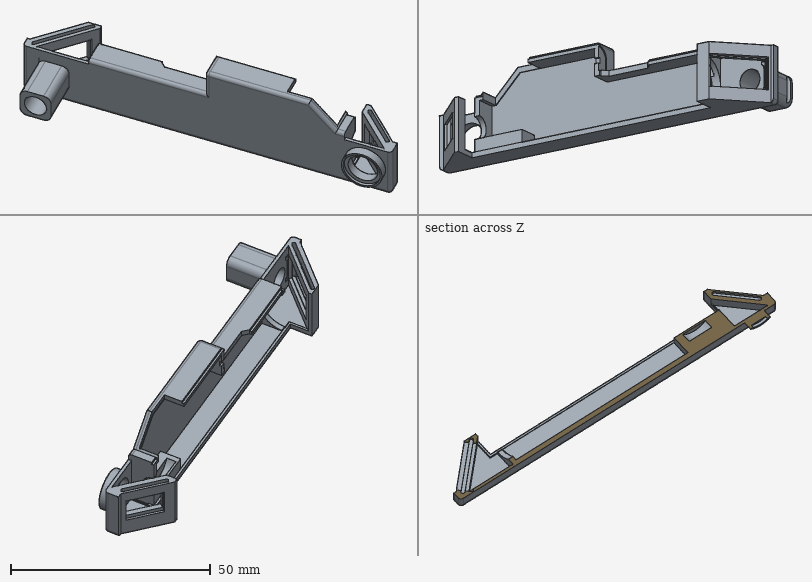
import cadquery as cq
import math

length = 99.85
edge_round = 1.0
body_depth = 7.2
wall = 1.5
rim = 0.6
tolerance = 0.01
cut_margin = 1.0

left_top = 15.16
right_top = 14.47
ledge_left = 17.8
ledge_right = 87.1
ledge_top = 16.5
tower_left = 49.4
tower_top = 23.79
slope_top = 77.7
slope_angle = 45.0
slope_bottom = slope_top + (tower_top - ledge_top) / math.tan(math.radians(slope_angle))
slope_inset = wall * math.tan(math.radians(slope_angle / 2))
plate_thickness = 0.9
body_left = ledge_left - rim
floor_thickness = 1.0
rim_top = 1.4
optical_z = 8.0

block_back = 13.96
block_angle = 45.0
window_depth = 5.0
slot_width = 1.0
slot_bottom = 3.0
tongue_back = 7.87

left_side = 2.8
left_inner = 15.5
left_outer_line = 2.05
left_inner_line = -2.45
left_slot_line = -0.4
left_slot_start = 2.2
left_slot_end = 13.5
left_window_x = 7.65
left_window_z = 7.72
left_window_length = 14.8
left_window_height = 8.64

right_side = 3.95
right_inner = 87.4
right_rim = 0.35
right_outer_line = 102.55
right_inner_line = 98.4
right_slot_line = 101.0
right_slot_start = 89.1
right_slot_end = 97.2
right_window_x = 93.3
right_window_length = 10.0
right_window_height = 6.9

post_x = 8.3
post_z = 7.72
post_width = 8.4
post_height = 8.3
post_round = 2.0
post_reach = 11.86
post_bore = 6.0
groove_diameter = 1.6
groove_offset = 0.3
groove_height = 7.0
groove_y = -10.3

ring_x = 92.8
ring_diameter = 11.0
ring_counterbore = 10.0
counterbore_depth = 0.8
ring_bore = 8.0
ring_reach = 2.4

passage_diameter = 6.0
port_radius = 3.2
port_recess = 0.3
port_spring_z = 19.5
notch_left = 34.8
notch_depth = 2.1
back_notch_z = 18.3
back_notch_height = 1.45
roof_gap_left = 71.0
roof_gap_right = 84.5
roof_gap_front = 1.7
trough_left = 74.2
trough_right = 83.3
trough_front = 4.05
trough_back = 6.6
saddle_left = 72.8
saddle_top = 5.0
trough_radius = 5.0

lip_reach = 99.91
lip_size = 0.25
lip_height = 0.12


def box(x0, x1, y0, y1, z0, z1):
    return cq.Workplane("XY").box(x1 - x0, y1 - y0, z1 - z0, centered=False).translate((x0, y0, z0))


def front_prism(points, y0, y1):
    """Prism of an XZ outline between two depths."""
    return cq.Workplane("XZ", origin=(0, y0, 0)).polyline(points).close().extrude(y0 - y1)


def top_prism(points, z0, z1):
    """Prism of an XY outline between two heights."""
    return cq.Workplane("XY", origin=(0, 0, z0)).polyline(points).close().extrude(z1 - z0)


def front_cylinder(x, z, diameter, y0, y1):
    return cq.Workplane("XZ", origin=(x, y0, z)).circle(diameter / 2).extrude(y0 - y1)


def block_profiles():
    """Plan outlines of the left and right mirror blocks."""
    left = [
        (0, 0), (left_inner, 0), (left_inner, block_back), (block_back - left_outer_line, block_back),
        (left_side - left_outer_line, left_side), (0, left_side),
    ]
    right = [
        (length, 0), (length, right_side), (right_outer_line - right_side, right_side),
        (right_outer_line - block_back, block_back), (right_inner, block_back), (right_inner, 0),
    ]
    return left, right


def near(value, targets):
    return any(abs(value - target) < tolerance for target in targets)


def solid_housing():
    """Front plate, body and blocks as one solid, with its outer front edges rounded."""
    plate = front_prism([
        (0, 0), (length, 0), (length, right_top), (ledge_left, right_top), (ledge_left, left_top), (0, left_top),
    ], 0, plate_thickness)
    body = front_prism([
        (body_left, 0), (ledge_right, 0), (ledge_right, ledge_top), (slope_bottom, ledge_top),
        (slope_top, tower_top), (tower_left, tower_top), (tower_left, ledge_top),
        (ledge_left, ledge_top), (ledge_left, left_top), (body_left, left_top),
    ], 0, body_depth)
    left, right = block_profiles()
    solid = plate.union(body).union(top_prism(left, 0, left_top)).union(top_prism(right, 0, right_top))
    tongue = box(left_inner - rim, right_inner + right_rim, body_depth - wall, tongue_back, 0, rim_top)
    left_floor = box(left_inner - rim, body_left + rim, 0, body_depth, 0, floor_thickness)
    right_floor = box(ledge_right - rim, right_inner + rim, 0, body_depth, 0, floor_thickness)
    solid = solid.union(tongue).union(left_floor).union(right_floor)

    rounded_corners = [(0, 0), (length, 0), (tower_left, tower_top)]
    corner_edges = [
        edge for edge in solid.edges("|Y").vals()
        if any(near(edge.Center().x, [x]) and near(edge.Center().z, [z]) for x, z in rounded_corners)
    ]
    front_edges = [
        edge for edge in solid.faces("<Y").edges().vals()
        if not near(edge.Center().z, [left_top, right_top])
        and not near(edge.Center().x, [ledge_left, ledge_right])
    ]
    return solid.newObject(corner_edges + front_edges).fillet(edge_round)


def hollow_body(solid):
    """Open the back of the housing, leaving the front plate, walls, roof and floor."""
    outline = [
        (body_left + wall, wall), (ledge_right - wall, wall),
        (ledge_right - wall, ledge_top - wall), (slope_bottom - slope_inset, ledge_top - wall),
        (slope_top - slope_inset, tower_top - wall), (tower_left + wall, tower_top - wall),
        (tower_left + wall, ledge_top - wall), (body_left + wall, ledge_top - wall),
    ]
    return solid.cut(front_prism(outline, wall, body_depth + cut_margin))


def slanted_slot(start, end, top):
    """Round-ended mirror slot, open at the top, between two plan points."""
    dx = end[0] - start[0]
    dy = end[1] - start[1]
    run = math.hypot(dx, dy)
    return (
        cq.Workplane("XY", origin=((start[0] + end[0]) / 2, (start[1] + end[1]) / 2, slot_bottom))
        .slot2D(run + slot_width, slot_width, math.degrees(math.atan2(dy, dx)))
        .extrude(top - slot_bottom + cut_margin)
    )


def slanted_window(x, y, z, width, depth, height, angle):
    """Rectangular window centred on a sloping wall; the angle is the wall direction in plan."""
    return cq.Workplane("XY").box(width, depth, height).rotate((0, 0, 0), (0, 0, 1), angle).translate((x, y, z))


def cut_left_block(solid):
    """Pocket, mirror slot and window of the left block."""
    pocket_right = left_inner - rim
    pocket = [
        (plate_thickness - left_inner_line, plate_thickness), (body_left, plate_thickness),
        (body_left, body_depth), (pocket_right, body_depth),
        (pocket_right, pocket_right + left_inner_line),
    ]
    block = solid.cut(top_prism(pocket, floor_thickness, left_top + cut_margin))
    opening = [
        (pocket_right - cut_margin, plate_thickness), (left_inner + cut_margin, plate_thickness),
        (left_inner + cut_margin, left_inner + left_inner_line + cut_margin),
        (pocket_right - cut_margin, pocket_right + left_inner_line - cut_margin),
    ]
    block = block.cut(top_prism(opening, rim_top, left_top + cut_margin))
    block = block.cut(slanted_slot(
        (left_slot_start, left_slot_start + left_slot_line),
        (left_slot_end, left_slot_end + left_slot_line), left_top,
    ))
    return block.cut(slanted_window(
        left_window_x, left_window_x + left_slot_line, left_window_z,
        left_window_length, window_depth, left_window_height, block_angle,
    ))


def cut_right_block(solid):
    """Pocket, mirror slot and window of the right block."""
    pocket_left = right_inner + right_rim
    pocket = [
        (pocket_left, plate_thickness), (right_inner_line - plate_thickness, plate_thickness),
        (pocket_left, right_inner_line - pocket_left),
    ]
    block = solid.cut(top_prism(pocket, floor_thickness, right_top + cut_margin))
    opening = [
        (ledge_right, plate_thickness), (pocket_left + rim, plate_thickness),
        (pocket_left + rim, right_inner_line - pocket_left - rim),
        (ledge_right, right_inner_line - ledge_right),
    ]
    block = block.cut(top_prism(opening, rim_top, right_top + cut_margin))
    block = block.cut(slanted_slot(
        (right_slot_start, right_slot_line - right_slot_start),
        (right_slot_end, right_slot_line - right_slot_end), right_top,
    ))
    return block.cut(slanted_window(
        right_window_x, right_slot_line - right_window_x, optical_z,
        right_window_length, window_depth, right_window_height, -block_angle,
    ))


def corner_lip():
    """Small lip at the outer top corner of the right block."""
    return box(length - lip_size, lip_reach, right_side - lip_size, right_side, right_top - lip_height, right_top)


def rebate_back_edges(solid):
    """Step back the roof edges along the open side and notch the tower sides."""
    front = body_depth - rim
    behind = body_depth + cut_margin
    ledge = box(body_left - cut_margin, tower_left, front, behind, ledge_top - rim, tower_top)
    ledge_end = box(body_left - cut_margin, ledge_left + rim, front, behind, left_top, tower_top)
    tower = box(tower_left - cut_margin, slope_bottom, front, behind, tower_top - rim, tower_top + cut_margin)
    right_ledge = box(slope_bottom, ledge_right, front, behind, ledge_top - rim, tower_top)
    notch = box(
        tower_left - cut_margin, slope_bottom, front, behind,
        back_notch_z, back_notch_z + back_notch_height,
    )
    return solid.cut(ledge).cut(ledge_end).cut(tower).cut(right_ledge).cut(notch)


def body_openings(solid):
    """Passages, side recess, ledge notch and roof gap of the body."""
    left_passage = (
        cq.Workplane("YZ", origin=(body_left - cut_margin, body_depth, optical_z))
        .circle(body_depth - plate_thickness).extrude(wall + 2 * cut_margin)
    )
    right_passage = (
        cq.Workplane("YZ", origin=(saddle_left, body_depth, optical_z))
        .circle(passage_diameter / 2).extrude(ledge_right - saddle_left + cut_margin)
    )
    port = (
        cq.Workplane("YZ", origin=(tower_left, body_depth, port_spring_z))
        .circle(port_radius).extrude(port_recess)
    )
    port = port.union(box(
        tower_left, tower_left + port_recess, body_depth - port_radius,
        body_depth + port_radius, ledge_top, port_spring_z,
    ))
    notch_front = body_depth - notch_depth
    notch_step = notch_depth - rim
    notch = top_prism([
        (notch_left, body_depth + cut_margin), (notch_left, body_depth - rim),
        (notch_left + notch_step, notch_front), (tower_left - notch_step, notch_front),
        (tower_left, body_depth - rim), (tower_left, body_depth + cut_margin),
    ], ledge_top - 2 * wall, ledge_top)
    gap = box(
        roof_gap_left, roof_gap_right, roof_gap_front, body_depth + cut_margin,
        floor_thickness + wall, tower_top + cut_margin,
    )
    return solid.cut(left_passage).cut(right_passage).cut(port).cut(notch).cut(gap)


def sensor_saddle():
    """Block on the floor below the roof gap with a round trough."""
    saddle = box(saddle_left, roof_gap_right + wall, wall - tolerance, body_depth, wall - tolerance, saddle_top)
    half_width = (trough_right - trough_left) / 2
    axis_z = saddle_top + math.sqrt(trough_radius ** 2 - half_width ** 2)
    trough = front_cylinder(trough_left + half_width, axis_z, 2 * trough_radius, trough_front, trough_back)
    return saddle.cut(trough)


def post():
    """Square post with rounded corners and a round-bottomed groove across its left side."""
    solid = (
        cq.Workplane("XZ", origin=(post_x, plate_thickness, post_z))
        .rect(post_width, post_height).extrude(plate_thickness + post_reach)
        .edges("|Y").fillet(post_round)
    )
    groove_x = post_x - post_width / 2 - groove_offset
    groove = (
        cq.Workplane("XY", origin=(groove_x, groove_y, post_z - groove_height / 2))
        .circle(groove_diameter / 2).extrude(groove_height)
    )
    return solid.cut(groove)


def ring():
    """Raised ring with a shallow counterbore."""
    solid = front_cylinder(ring_x, optical_z, ring_diameter, -ring_reach, plate_thickness)
    counterbore = front_cylinder(ring_x, optical_z, ring_counterbore, -ring_reach, counterbore_depth - ring_reach)
    return solid.cut(counterbore)


housing = hollow_body(solid_housing())
housing = body_openings(rebate_back_edges(housing)).union(sensor_saddle())
housing = cut_right_block(cut_left_block(housing))
housing = housing.union(post()).union(ring()).union(corner_lip())
post_hole = front_cylinder(post_x, post_z, post_bore, -post_reach - cut_margin, plate_thickness + cut_margin)
ring_hole = front_cylinder(ring_x, optical_z, ring_bore, -ring_reach - cut_margin, plate_thickness + cut_margin)
result = housing.cut(post_hole).cut(ring_hole)